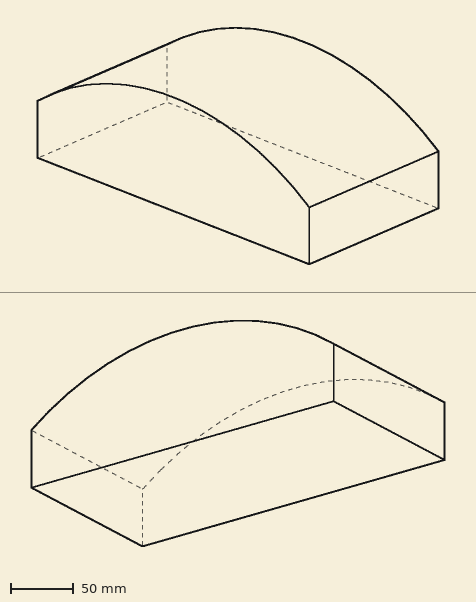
import cadquery as cq

length = 300.0
depth = length / 2
crown_height = length / 3
side_height = crown_height / 2

half_length = length / 2

result = (
    cq.Workplane("XZ")
    .moveTo(-half_length, 0)
    .lineTo(half_length, 0)
    .lineTo(half_length, side_height)
    .threePointArc((0, crown_height), (-half_length, side_height))
    .close()
    .extrude(depth / 2, both=True)
)